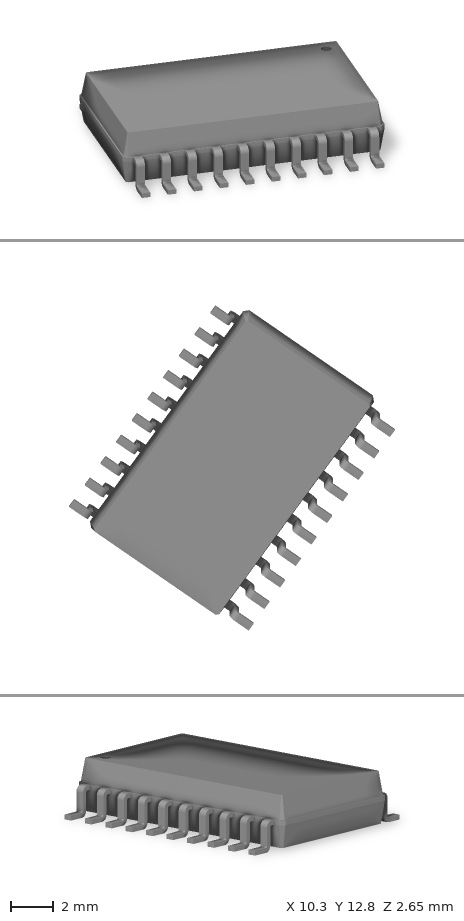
import cadquery as cq
import math

body_width = 7.5
body_length = 12.8
body_bottom = 0.13
total_height = 2.65
corner_chamfer = 0.2
ledge = 0.08
upper_draft = 0.2
lower_draft = 0.18

lead_span = 10.3
leads_per_side = 10
lead_row_length = 11.43
lead_pitch = lead_row_length / (leads_per_side - 1)
lead_width = 0.41
lead_thickness = 0.23
lead_top = 1.48
foot_length = 0.86
inner_bend = 0.08
outer_bend = inner_bend + lead_thickness
lead_embed = 0.25

dimple_diameter = 0.5
dimple_depth = 0.09
dimple_inset = 0.97

chamfer_shrink = 2 - math.sqrt(2)

band_bottom = lead_top - lead_thickness


def tapered_block(inset, base_z, height, draft):
    """Chamfered block set in from the band; a negative height grows downward."""
    taper = math.degrees(math.atan(draft / abs(height)))
    return (
        cq.Workplane("XY", origin=(0, 0, base_z))
        .sketch()
        .rect(body_width - 2 * inset, body_length - 2 * inset)
        .vertices()
        .chamfer(corner_chamfer - chamfer_shrink * inset)
        .finalize()
        .extrude(height, taper=taper)
    )


def make_body():
    band = tapered_block(0, band_bottom, lead_thickness, 0)
    upper = tapered_block(ledge, lead_top, total_height - lead_top, upper_draft)
    lower = tapered_block(0, band_bottom, body_bottom - band_bottom, lower_draft)
    return band.union(upper).union(lower)


def make_lead(y):
    """Left-hand lead centred on y, from its foot tip into the body."""
    tip = -lead_span / 2
    leg_outer = tip + foot_length
    leg_inner = leg_outer + lead_thickness
    root = -body_width / 2 + lead_embed
    diagonal = math.sqrt(0.5)

    def bend_middle(centre_x, centre_z, radius, side):
        """Midpoint of a quarter bend: side -1 is upper left, +1 is lower right."""
        return (centre_x + side * radius * diagonal, centre_z - side * radius * diagonal)

    foot_centre = (leg_outer - inner_bend, outer_bend)
    shoulder_centre = (leg_inner + inner_bend, lead_top - outer_bend)
    return (
        cq.Workplane("XZ", origin=(0, y + lead_width / 2, 0))
        .moveTo(tip, 0)
        .lineTo(foot_centre[0], 0)
        .threePointArc(bend_middle(*foot_centre, outer_bend, 1), (leg_inner, foot_centre[1]))
        .lineTo(leg_inner, shoulder_centre[1])
        .threePointArc(bend_middle(*shoulder_centre, inner_bend, -1), (shoulder_centre[0], band_bottom))
        .lineTo(root, band_bottom)
        .lineTo(root, lead_top)
        .lineTo(shoulder_centre[0], lead_top)
        .threePointArc(bend_middle(*shoulder_centre, outer_bend, -1), (leg_outer, shoulder_centre[1]))
        .lineTo(leg_outer, foot_centre[1])
        .threePointArc(bend_middle(*foot_centre, inner_bend, 1), (foot_centre[0], lead_thickness))
        .lineTo(tip, lead_thickness)
        .close()
        .extrude(lead_width)
    )


def make_dimple():
    return (
        cq.Workplane("XY", origin=(0, 0, total_height))
        .center(dimple_inset - body_width / 2, body_length / 2 - dimple_inset)
        .circle(dimple_diameter / 2)
        .extrude(-dimple_depth)
    )


result = make_body().cut(make_dimple())
for index in range(leads_per_side):
    lead = make_lead(index * lead_pitch - lead_row_length / 2)
    result = result.union(lead).union(lead.mirror("YZ"))